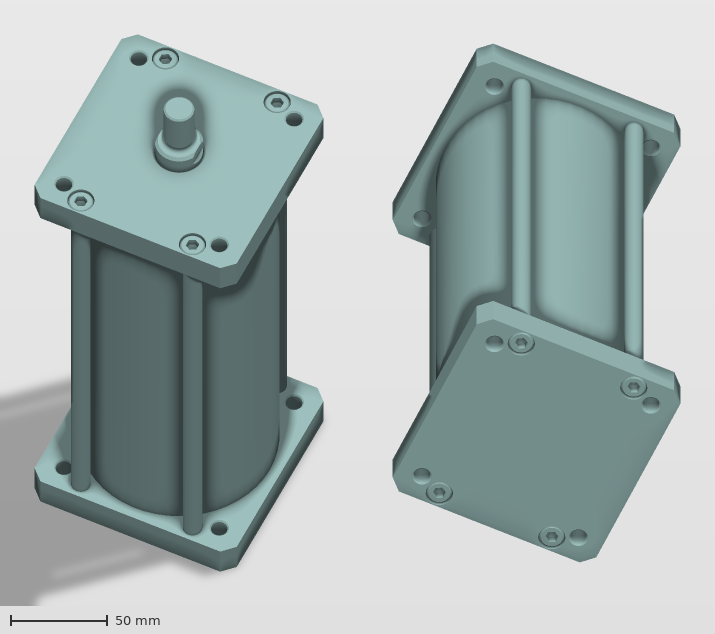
import cadquery as cq
import math

total_height = 305.0
rod_projection = 37.8
plate_thickness = 17.7
head_top = total_height - rod_projection
head_bottom = head_top - plate_thickness

plate_side = 116.0
plate_corner_chamfer = 6.5
mount_hole_offset = 44.5
mount_hole_diameter = 8.5
mount_hole_mouth_diameter = 10.0

barrel_diameter = 104.0

tie_rod_x = 32.0
tie_rod_y = 50.3
tie_rod_diameter = 10.0
tie_head_diameter = 13.0
tie_head_chamfer = 1.0
counterbore_diameter = 14.0
counterbore_depth = 9.8
tie_head_recess = 0.5
socket_across_flats = 6.0
socket_depth = 4.0
socket_tip_angle = 120.0

rod_diameter = 25.0
stud_projection = 28.0
rod_shoulder_top = total_height - stud_projection
rod_shoulder_chamfer = 1.5
thread_diameter = 16.0
thread_length = 24.0
thread_chamfer = 1.0
relief_diameter = 13.5
flat_spacing = 22.0
flat_clearance = 2.7
flat_bottom = head_top + flat_clearance
rod_bore_diameter = 25.5
rod_bore_mouth_diameter = 27.5

mount_points = [(x, y) for x in (-mount_hole_offset, mount_hole_offset)
                for y in (-mount_hole_offset, mount_hole_offset)]
tie_points = [(x, y) for x in (-tie_rod_x, tie_rod_x) for y in (-tie_rod_y, tie_rod_y)]


def disc(diameter, bottom, top, points=((0, 0),)):
    """Upright cylinders between two heights, one at each point."""
    return (
        cq.Workplane("XY", origin=(0, 0, bottom))
        .pushPoints(points)
        .circle(diameter / 2)
        .extrude(top - bottom)
    )


def turn(outline):
    """Solid turned about the Z axis from half a profile drawn in the XZ plane."""
    return outline.close().revolve(360, (0, 0, 0), (0, 1, 0))


def mount_hole_cutter(x, y, bottom):
    """Through hole with a 45 degree countersink at both mouths."""
    inner = mount_hole_diameter / 2
    outer = mount_hole_mouth_diameter / 2
    sink = outer - inner
    top = bottom + plate_thickness
    profile = cq.Workplane("XZ").polyline([
        (0, bottom), (outer, bottom), (inner, bottom + sink),
        (inner, top - sink), (outer, top), (0, top),
    ])
    return turn(profile).translate((x, y, 0))


def make_plate(bottom):
    """Square plate with cut corners, mounting holes and tie rod shank holes."""
    plate = (
        cq.Workplane("XY", origin=(0, 0, bottom))
        .rect(plate_side, plate_side)
        .extrude(plate_thickness)
        .edges("|Z")
        .chamfer(plate_corner_chamfer)
    )
    for x, y in mount_points:
        plate = plate.cut(mount_hole_cutter(x, y, bottom))
    return plate.cut(disc(tie_rod_diameter, bottom, bottom + plate_thickness, tie_points))


def make_base_plate():
    """Lower plate, with the tie rod counterbores opening downward."""
    return make_plate(0).cut(disc(counterbore_diameter, 0, counterbore_depth, tie_points))


def rod_bore_cutter():
    """Clearance bore for the piston rod with a 45 degree chamfer at its upper mouth."""
    inner = rod_bore_diameter / 2
    outer = rod_bore_mouth_diameter / 2
    chamfer_bottom = head_top - (outer - inner)
    profile = cq.Workplane("XZ").polyline([
        (0, head_bottom), (inner, head_bottom), (inner, chamfer_bottom), (outer, head_top), (0, head_top),
    ])
    return turn(profile)


def make_head_plate():
    """Upper plate, with counterbores opening upward and the piston rod bore."""
    plate = make_plate(head_bottom)
    plate = plate.cut(disc(counterbore_diameter, head_top - counterbore_depth, head_top, tie_points))
    return plate.cut(rod_bore_cutter())


def make_barrel():
    """Round barrel clamped between the two plates."""
    return disc(barrel_diameter, plate_thickness, head_bottom)


def socket_cutter(top):
    """Hexagonal socket, corners along Y, ending in a drill point."""
    floor = top - socket_depth
    hexagon = (
        cq.Workplane("XY", origin=(0, 0, floor))
        .transformed(rotate=(0, 0, 90))
        .polygon(6, socket_across_flats / math.cos(math.pi / 6))
        .extrude(socket_depth)
    )
    tip_radius = socket_across_flats / 2
    tip_depth = tip_radius / math.tan(math.radians(socket_tip_angle / 2))
    tip = cq.Workplane(cq.Solid.makeCone(0, tip_radius, tip_depth, cq.Vector(0, 0, floor - tip_depth)))
    return hexagon.union(tip)


def make_tie_rod(x, y):
    """Shank with a chamfered hex socket head at each end."""
    head_height = counterbore_depth - tie_head_recess
    top = head_top - tie_head_recess
    rod = disc(tie_rod_diameter, counterbore_depth, head_top - counterbore_depth)
    lower_head = disc(tie_head_diameter, tie_head_recess, counterbore_depth)
    upper_head = disc(tie_head_diameter, top - head_height, top)
    rod = rod.union(lower_head.faces("<Z").edges().chamfer(tie_head_chamfer))
    rod = rod.union(upper_head.faces(">Z").edges().chamfer(tie_head_chamfer))
    upper_socket = socket_cutter(top)
    lower_socket = upper_socket.mirror("XY", (0, 0, head_top / 2))
    return rod.cut(upper_socket).cut(lower_socket).translate((x, y, 0))


def flat_cutter():
    """Wrench flat on the +X side, running out along a 45 degree slope."""
    inner = flat_spacing / 2
    outer = rod_diameter / 2
    profile = [
        (inner, rod_shoulder_top), (inner, flat_bottom),
        (outer, flat_bottom - (outer - inner)), (outer, rod_shoulder_top),
    ]
    return cq.Workplane("XZ").polyline(profile).close().extrude(rod_diameter / 2, both=True)


def make_relief(top):
    """Necked length below the thread, with a fillet into the face at each end."""
    bottom = rod_shoulder_top
    neck = relief_diameter / 2
    end = thread_diameter / 2
    fillet = end - neck
    mid = end - fillet * math.cos(math.pi / 4)
    rise = fillet * (1 - math.sin(math.pi / 4))
    profile = (
        cq.Workplane("XZ")
        .moveTo(0, bottom)
        .lineTo(end, bottom)
        .threePointArc((mid, bottom + rise), (neck, bottom + fillet))
        .lineTo(neck, top - fillet)
        .threePointArc((mid, top - rise), (end, top))
        .lineTo(0, top)
    )
    return turn(profile)


def make_piston_rod():
    """Piston rod with wrench flats, a relief groove and a threaded end stud."""
    rod = disc(rod_diameter, head_bottom, rod_shoulder_top)
    rod = rod.faces(">Z").edges().chamfer(rod_shoulder_chamfer)
    flat = flat_cutter()
    rod = rod.cut(flat).cut(flat.mirror("YZ"))
    thread_bottom = total_height - thread_length
    rod = rod.union(make_relief(thread_bottom))
    stud = disc(thread_diameter, thread_bottom, total_height).faces(">Z").edges().chamfer(thread_chamfer)
    return rod.union(stud)


base_plate = make_base_plate()
head_plate = make_head_plate()
barrel = make_barrel()
piston_rod = make_piston_rod()
tie_rods = [make_tie_rod(x, y) for x, y in tie_points]

result = cq.Compound.makeCompound([
    base_plate.val(),
    head_plate.val(),
    barrel.val(),
    piston_rod.val(),
    *[tie_rod.val() for tie_rod in tie_rods],
])